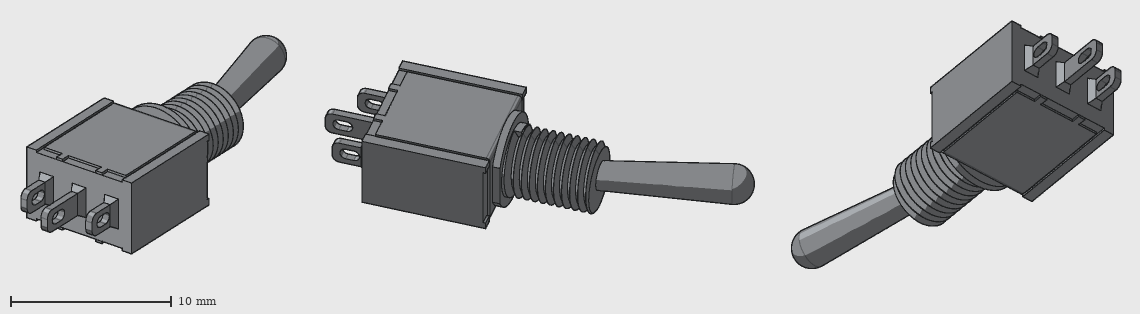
import cadquery as cq
import math


case_width = 8.13
case_depth = 8.13
case_height = 5.0
sheet_thickness = 0.16
groove_width = 6.65
front_slot_height = 4.08
cover_width = 6.35
cover_bend_radius = 0.25
cover_inner_radius = cover_bend_radius - sheet_thickness
cover_edge_y = 0.6
foot_width = 0.5
foot_spacing = 3.05

flange_diameter = 6.1
flange_radius = flange_diameter / 2
flange_flat_x = 2.68
flange_thickness = 0.5
flange_top_y = case_depth + flange_thickness
collar_radius = 2.38
collar_top_y = 9.15
bushing_top_y = 14.25

thread_radius = 2.3
thread_root_radius = 1.92
thread_start_y = 8.98
thread_turns = 10
thread_pitch = (bushing_top_y - thread_start_y) / thread_turns
crest_flat = 0.015
groove_overcut = 0.05
groove_outer_radius = collar_radius + groove_overcut
groove_flank_slope = (thread_pitch - crest_flat) / 2 / (thread_radius - thread_root_radius)

lever_tilt = 12.6
pivot_y = 13.16
ball_radius = 1.3
tip_y = 23.7
lever_length = (tip_y - ball_radius - pivot_y) / math.cos(math.radians(lever_tilt))
lever_root_radius = 0.9

terminal_spacing = 2.52
terminal_thickness = 0.5
terminal_height = 1.55
terminal_corner_radius = 0.5
outer_terminal_reach = 2.38
middle_terminal_reach = 3.67
eyelet_length = 1.3
eyelet_height = 0.77
eyelet_margin = 0.52
seal_width = 1.07
seal_height = 2.1
seal_length = 0.5


def block(width, height, y_start, y_end):
    """A box centred on X and Z between two Y levels."""
    return (
        cq.Workplane("XY")
        .box(width, y_end - y_start, height, centered=(True, False, True))
        .translate((0, y_start, 0))
    )


def make_case():
    covered_depth = case_depth - sheet_thickness
    covered_height = case_height - 2 * sheet_thickness
    case = block(case_width, case_height, 0, case_depth)
    core = (
        block(groove_width, covered_height, 0, covered_depth)
        .edges("|X and >Y")
        .fillet(cover_inner_radius)
    )
    groove = block(groove_width, case_height, 0, case_depth).cut(core)
    front_slot = block(case_width, front_slot_height, covered_depth, case_depth)
    return case.cut(groove).cut(front_slot)


def make_cover():
    """A U of sheet metal: front plate, two cheeks, and two feet on each cheek."""
    outside = (
        block(cover_width, case_height, 0, case_depth)
        .edges("|X and >Y")
        .fillet(cover_bend_radius)
    )
    inside = (
        block(cover_width, case_height - 2 * sheet_thickness, 0, case_depth - sheet_thickness)
        .edges("|X and >Y")
        .fillet(cover_inner_radius)
    )
    edge_trim = block(cover_width, case_height, 0, cover_edge_y)
    for side in (-1, 1):
        foot = block(foot_width, case_height, 0, cover_edge_y)
        edge_trim = edge_trim.cut(foot.translate((side * foot_spacing / 2, 0, 0)))
    return outside.cut(inside).cut(edge_trim)


def make_groove_turn():
    """One turn of a V groove, winding up +Z from its start on the -Y side."""
    half_mouth = groove_flank_slope * (groove_outer_radius - thread_root_radius)
    path = cq.Wire.makeHelix(thread_pitch, thread_pitch, thread_root_radius)
    groove = (
        cq.Workplane("XZ")
        .moveTo(thread_root_radius, 0)
        .lineTo(groove_outer_radius, half_mouth)
        .lineTo(groove_outer_radius, -half_mouth)
        .close()
        .sweep(path, isFrenet=True)
    )
    return groove.rotate((0, 0, 0), (0, 0, 1), -90)


def bushing_step(radius, top):
    """A round step of the upright bushing, standing on the case."""
    return cq.Workplane("XY").workplane(offset=case_depth).circle(radius).extrude(top - case_depth)


def make_bushing(lever):
    """Flange, collar and threaded barrel, made upright along Z and then laid along +Y."""
    beyond_flat = cq.Workplane("XY").box(
        flange_radius, 2 * flange_radius, flange_top_y, centered=(False, True, False)
    )
    flange = bushing_step(flange_radius, flange_top_y).cut(beyond_flat.translate((flange_flat_x, 0, 0)))
    collar = bushing_step(collar_radius, collar_top_y)
    barrel = bushing_step(thread_radius, bushing_top_y)
    threaded = barrel.union(collar).rotate((0, 0, 0), (0, 0, 1), 180)
    groove_turn = make_groove_turn()
    for turn in range(thread_turns + 1):
        turn_start = (0, 0, thread_start_y + turn * thread_pitch)
        threaded = threaded.cut(groove_turn.translate(turn_start), clean=False)
    upright = threaded.union(flange, clean=False)
    return upright.rotate((0, 0, 0), (1, 0, 0), -90).cut(lever, clean=False)


def make_lever():
    """A tapered rod with a ball end, tilted towards -X about its pivot."""
    arc_offset = ball_radius * math.sqrt(0.5)
    rod = (
        cq.Workplane("XY")
        .lineTo(lever_root_radius, 0)
        .lineTo(ball_radius, lever_length)
        .threePointArc((arc_offset, lever_length + arc_offset), (0, lever_length + ball_radius))
        .close()
        .revolve(360, (0, 0), (0, 1))
    )
    return rod.rotate((0, 0, 0), (0, 0, 1), lever_tilt).translate((0, pivot_y, 0))


def make_seal(x):
    """A tapered block that narrows to the section of its terminal."""
    seal = (
        cq.Workplane("XZ")
        .rect(seal_width, seal_height)
        .workplane(offset=seal_length)
        .rect(terminal_thickness, terminal_height)
        .loft(ruled=True)
    )
    return seal.translate((x, 0, 0))


def make_terminal(x, reach):
    """A flat blade with rounded tip corners and a slotted eyelet near the tip."""
    blade = (
        block(terminal_thickness, terminal_height, -reach, -seal_length)
        .edges("|X and <Y")
        .fillet(terminal_corner_radius)
    )
    eyelet = (
        cq.Workplane("YZ")
        .center(-reach + eyelet_margin + eyelet_length / 2, 0)
        .slot2D(eyelet_length, eyelet_height)
        .extrude(terminal_thickness, both=True)
    )
    return blade.cut(eyelet).translate((x, 0, 0))


case = make_case()
cover = make_cover()
lever = make_lever()
bushing = make_bushing(lever)

terminal_reaches = {
    -terminal_spacing: outer_terminal_reach,
    0: middle_terminal_reach,
    terminal_spacing: outer_terminal_reach,
}
seals = []
terminals = []
for x, reach in terminal_reaches.items():
    seals.append(make_seal(x).val())
    terminals.append(make_terminal(x, reach).val())

result = cq.Compound.makeCompound(
    [case.val(), cover.val(), bushing.val(), lever.val(), *seals, *terminals]
)